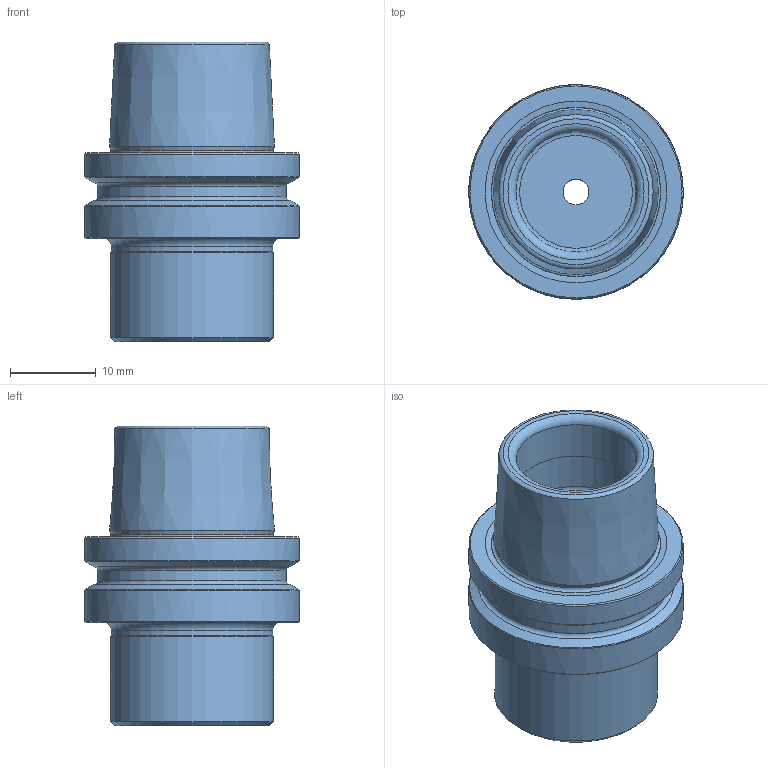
import cadquery as cq
import math

total_height = 34.9
blank_height = 10.5
flange_bottom = 12.0
flange_height = 10.0
flange_top = flange_bottom + flange_height

blank_radius = 9.5
blank_chamfer = 0.5
blank_top_chamfer = 0.1

flange_radius = 12.5
flange_edge_break = 0.15
neck_radius = blank_radius - blank_top_chamfer
neck_arc_radius = 1.0
neck_arc_height = 0.9
groove_floor_radius = 11.0
groove_flank_angle = 30.0
groove_floor_width = 1.17
groove_offset = 5.5
groove_middle = flange_bottom + groove_offset
groove_corner_radius = 0.465
groove_edge_break = 0.07

taper_tip_radius = 9.0
taper_foot_radius = 9.6
taper_foot_height = flange_top + 0.8
taper_tip_rounding_width = 0.5
taper_tip_rounding_height = 0.25
relief_root_radius = 9.45
relief_fillet = 0.4
relief_depth = 0.1
relief_ramp_inner_radius = 9.88
relief_ramp_outer_radius = 10.6

lip_radius = 7.0
lip_length = 5.4
lip_rounding = 0.93
chamber_radius = 7.5
chamber_depth = 11.0
chamber_floor_fillet = 0.93
passage_radius = 1.5

selection_margin = 0.01


def revolve_about_z(profile):
    return profile.close().revolve(360, (0, 0, 0), (0, 1, 0))


def cylinder(radius, bottom, height):
    return cq.Workplane("XY").workplane(offset=bottom).circle(radius).extrude(height)


def flat_box(half_width, height):
    """Selector for edges lying wholly inside a thin square slab at a given height."""
    return cq.selectors.BoxSelector(
        (-half_width, -half_width, height - selection_margin),
        (half_width, half_width, height + selection_margin),
        boundingbox=True,
    )


def ring_edge(radius, height):
    """Selector for the circular edge of a given radius and height about Z."""
    return flat_box(radius + selection_margin, height) - flat_box(radius - selection_margin, height)


def make_flange():
    """Flange disc on its neck stub, the neck flaring in an arc up to the disc."""
    disc = cylinder(flange_radius, flange_bottom, flange_height)
    disc = disc.faces("<Z or >Z").edges().chamfer(flange_edge_break)
    arc_end_radius = neck_radius + neck_arc_radius - math.sqrt(neck_arc_radius**2 - neck_arc_height**2)
    neck = revolve_about_z(
        cq.Workplane("XZ")
        .moveTo(0, blank_height)
        .lineTo(neck_radius, blank_height)
        .lineTo(neck_radius, flange_bottom - neck_arc_height)
        .radiusArc((arc_end_radius, flange_bottom), neck_arc_radius)
        .lineTo(0, flange_bottom)
    )
    return disc.union(neck)


def cut_groove(flange):
    """Cut a ring groove with quarter-round corners, sloping flanks and broken edges."""
    flank_inner_radius = groove_floor_radius + groove_corner_radius
    flank_rise = (flange_radius - flank_inner_radius) * math.tan(math.radians(groove_flank_angle))
    half_floor = groove_floor_width / 2
    half_corner = half_floor + groove_corner_radius
    half_mouth = half_corner + flank_rise
    ring = revolve_about_z(
        cq.Workplane("XZ")
        .moveTo(flange_radius, groove_middle - half_mouth)
        .lineTo(flank_inner_radius, groove_middle - half_corner)
        .radiusArc((groove_floor_radius, groove_middle - half_floor), groove_corner_radius)
        .lineTo(groove_floor_radius, groove_middle + half_floor)
        .radiusArc((flank_inner_radius, groove_middle + half_corner), groove_corner_radius)
        .lineTo(flange_radius, groove_middle + half_mouth)
    )
    flange = flange.cut(ring)
    for side in (-1, 1):
        rim = ring_edge(flange_radius, groove_middle + side * half_mouth)
        flange = flange.edges(rim).chamfer(groove_edge_break)
    return flange


def make_relief():
    """Shallow ramped recess in the flange top around the shank foot."""
    recess_floor = flange_top - relief_depth
    return revolve_about_z(
        cq.Workplane("XZ")
        .moveTo(0, recess_floor)
        .lineTo(relief_ramp_inner_radius, recess_floor)
        .lineTo(relief_ramp_outer_radius, flange_top)
        .lineTo(0, flange_top)
    )


def make_shank():
    """Solid taper with a rounded tip, undercut foot and foot fillet."""
    recess_floor = flange_top - relief_depth
    fillet_top = recess_floor + relief_fillet
    diagonal = relief_fillet * (1 - math.sqrt(0.5))
    tip_chord = math.hypot(taper_tip_rounding_width, taper_tip_rounding_height)
    tip_arc_radius = tip_chord**2 / (2 * taper_tip_rounding_height)
    return revolve_about_z(
        cq.Workplane("XZ")
        .moveTo(0, recess_floor)
        .lineTo(relief_root_radius + relief_fillet, recess_floor)
        .threePointArc(
            (relief_root_radius + diagonal, recess_floor + diagonal),
            (relief_root_radius, fillet_top),
        )
        .lineTo(taper_foot_radius, taper_foot_height)
        .lineTo(taper_tip_radius, total_height - taper_tip_rounding_height)
        .radiusArc((taper_tip_radius - taper_tip_rounding_width, total_height), -tip_arc_radius)
        .lineTo(0, total_height)
    )


def make_bore():
    """Rounded lip bore opening into a wider chamber with a filleted floor."""
    lip_bottom = total_height - lip_length
    chamber_floor = total_height - chamber_depth
    chamber = cylinder(chamber_radius, chamber_floor, lip_bottom - chamber_floor)
    chamber = chamber.faces("<Z").edges().fillet(chamber_floor_fillet)
    return chamber.union(cylinder(lip_radius, lip_bottom, lip_length))


def make_passage():
    return cylinder(passage_radius, 0, total_height)


def make_holder():
    holder = cut_groove(make_flange()).cut(make_relief()).union(make_shank())
    holder = holder.cut(make_bore()).cut(make_passage())
    return holder.edges(ring_edge(lip_radius, total_height)).fillet(lip_rounding)


def make_blank():
    blank = cylinder(blank_radius, 0, blank_height)
    blank = blank.faces("<Z").edges().chamfer(blank_chamfer)
    blank = blank.faces(">Z").edges().chamfer(blank_top_chamfer)
    return blank.cut(make_passage())


holder = make_holder()
blank = make_blank()

result = cq.Compound.makeCompound([holder.val(), blank.val()])